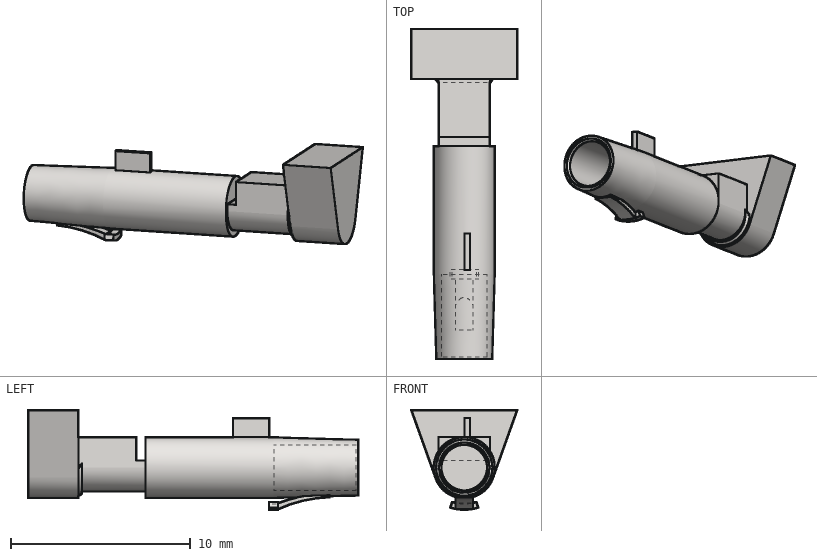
import cadquery as cq
import math

total_length = 18.4

barrel_radius = 3.4 / 2
nose_length = 4.71
mouth_radius = 1.56
barrel_end = 11.87
bore_radius = 1.27
bore_depth = nose_length
mouth_chamfer = 0.13

head_thickness = 2.8
head_width = 5.9
head_top = 3.2
head_front = total_length - head_thickness

neck_width = 2.85
neck_half_width = neck_width / 2
neck_depth = 1.35
neck_step_height = 0.4
neck_step_end = 12.36
flare_length = 0.2
flare_small_radius = 1.45
flare_large_radius = 1.6
flare_front_top = 0.22
flare_back_top = -0.05

fin_thickness = 0.31
fin_start = 4.97
fin_length = 2.02
fin_top = 2.76

latch_front = 4.47
latch_back = 4.99
latch_inner_radius = 2.02
latch_outer_radius = 2.35
latch_half_angle = math.radians(19.5)
arm_width = 0.98
arm_root = 1.62
arm_root_bottom = -1.65
arm_root_top = -1.47
arm_middle = 3.13
arm_middle_bottom = -1.85
arm_middle_top = -1.6
arm_tip_bottom = -2.32
arm_tip_top = -1.97


def profile_at(y):
    """Sketch plane across the socket axis: local x is X, local y is Z, extruding toward -Y."""
    return cq.Workplane("XZ", origin=(0, y, 0))


def make_barrel():
    outline = [
        (0, 0),
        (mouth_radius, 0),
        (barrel_radius, nose_length),
        (barrel_radius, barrel_end),
        (0, barrel_end),
    ]
    return cq.Workplane("XY").polyline(outline).close().revolve(360, (0, 0, 0), (0, 1, 0))


def make_bore():
    outline = [
        (0, 0),
        (bore_radius + mouth_chamfer, 0),
        (bore_radius, mouth_chamfer),
        (bore_radius, bore_depth),
        (0, bore_depth),
    ]
    return cq.Workplane("XY").polyline(outline).close().revolve(360, (0, 0, 0), (0, 1, 0))


def make_head():
    half_width = head_width / 2
    corner_distance = math.hypot(half_width, head_top)
    tangent_angle = math.atan2(head_top, half_width) - math.acos(barrel_radius / corner_distance)
    tangent_x = barrel_radius * math.cos(tangent_angle)
    tangent_z = barrel_radius * math.sin(tangent_angle)
    return (
        profile_at(total_length)
        .moveTo(-half_width, head_top)
        .lineTo(half_width, head_top)
        .lineTo(tangent_x, tangent_z)
        .threePointArc((0, -barrel_radius), (-tangent_x, tangent_z))
        .close()
        .extrude(head_thickness)
    )


def neck_section(back, front, top):
    """Flat-topped neck with a rounded underside."""
    return (
        profile_at(back)
        .moveTo(-neck_half_width, top)
        .lineTo(neck_half_width, top)
        .lineTo(neck_half_width, 0)
        .threePointArc((0, -neck_depth), (-neck_half_width, 0))
        .close()
        .extrude(back - front)
    )


def make_flare():
    outline = [
        (0, head_front - flare_length),
        (flare_small_radius, head_front - flare_length),
        (flare_large_radius, head_front),
        (0, head_front),
    ]
    cone = cq.Workplane("XY").polyline(outline).close().revolve(360, (0, 0, 0), (0, 1, 0))
    kept_side = (
        cq.Workplane("YZ")
        .moveTo(head_front - flare_length, flare_front_top)
        .lineTo(head_front, flare_back_top)
        .lineTo(head_front, -barrel_radius)
        .lineTo(head_front - flare_length, -barrel_radius)
        .close()
        .extrude(barrel_radius, both=True)
    )
    return cone.intersect(kept_side)


def make_fin():
    foot = (bore_radius + barrel_radius) / 2
    fin = cq.Workplane("XY").box(fin_thickness, fin_length, fin_top - foot, centered=False)
    return fin.translate((0, fin_start, foot))


def make_latch():
    def arc_point(radius, angle):
        return (radius * math.sin(angle), -radius * math.cos(angle))

    pad = (
        profile_at(latch_back)
        .moveTo(*arc_point(latch_inner_radius, -latch_half_angle))
        .threePointArc((0, -latch_inner_radius), arc_point(latch_inner_radius, latch_half_angle))
        .lineTo(*arc_point(latch_outer_radius, latch_half_angle))
        .threePointArc((0, -latch_outer_radius), arc_point(latch_outer_radius, -latch_half_angle))
        .close()
        .extrude(latch_back - latch_front)
    )
    arm = (
        cq.Workplane("YZ")
        .moveTo(arm_root, arm_root_bottom)
        .threePointArc((arm_middle, arm_middle_bottom), (latch_front, arm_tip_bottom))
        .lineTo(latch_front, arm_tip_top)
        .threePointArc((arm_middle, arm_middle_top), (arm_root, arm_root_top))
        .close()
        .extrude(arm_width / 2, both=True)
    )
    return pad.union(arm)


result = (
    make_barrel()
    .cut(make_bore())
    .union(neck_section(head_front, neck_step_end, barrel_radius))
    .union(neck_section(neck_step_end, barrel_end, neck_step_height))
    .union(make_flare())
    .union(make_head())
    .union(make_fin())
    .union(make_latch())
)